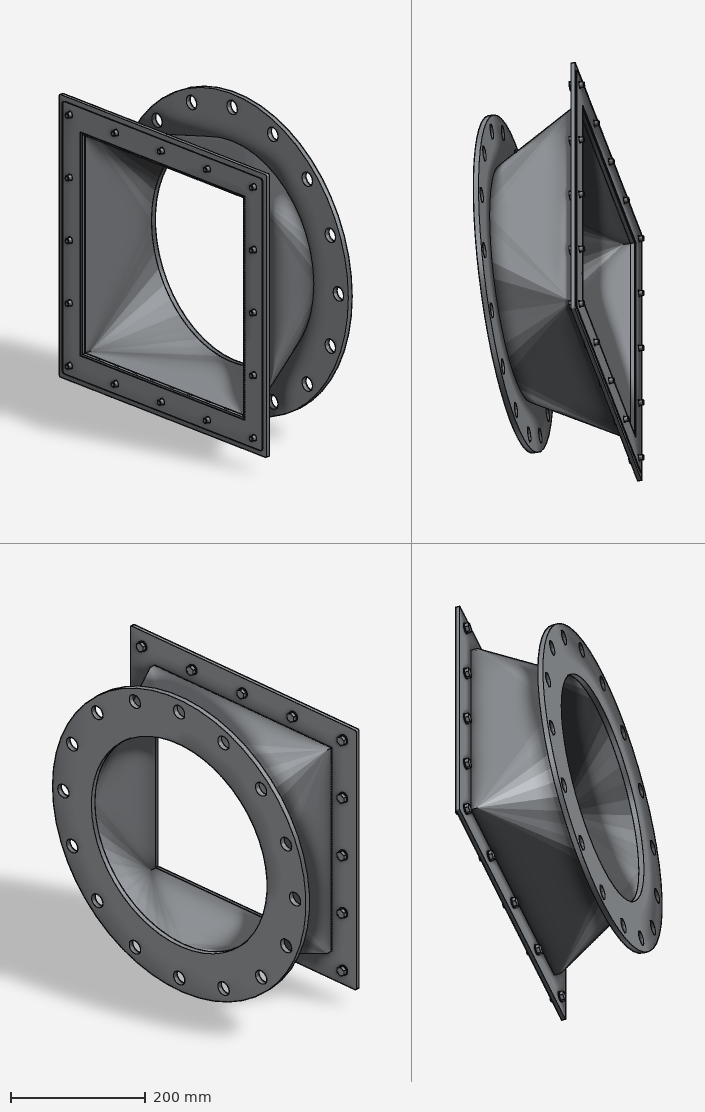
import cadquery as cq
import math


round_flange_diameter = 505.0
round_flange_thickness = 8.0
round_bolt_circle_diameter = 461.5
round_hole_diameter = 22.0
round_hole_count = 16

bore = 350.0
round_end_wall = 2.5
collar_inner_width = 349.0
collar_wall = 2.0
facets_per_corner = 11
transition_front_y = -132.5
collar_length = 10.0

square_flange_width = 450.5
square_flange_thickness = 6.0
square_flange_corner_radius = 3.0
gasket_margin = 8.0
gasket_thickness = 1.5
gasket_corner_radius = 5.0
gasket_opening = 356.0

bolt_spacing = 100.0
bolts_per_side = 5
bolt_diameter = 8.0
bolt_tip_chamfer = 1.0
bolt_hole_diameter = 10.0
bolt_tip_y = -157.0
washer_diameter = 16.0
washer_thickness = 1.5
head_across_flats = 13.0
head_height = 5.5

round_flange_front_y = -round_flange_thickness
square_flange_back_y = transition_front_y - collar_length
square_flange_front_y = square_flange_back_y - square_flange_thickness
gasket_front_y = square_flange_front_y - gasket_thickness
gasket_width = square_flange_width - 2 * gasket_margin


def section_at(y):
    """XZ workplane at the given Y; extrusions from it run toward -Y."""
    return cq.Workplane("XZ", origin=(0, y, 0))


def square_plate(back_y, width, corner_radius, opening, thickness):
    plate = section_at(back_y).rect(width, width).extrude(thickness)
    plate = plate.edges("|Y").fillet(corner_radius)
    return plate.cut(section_at(back_y).rect(opening, opening).extrude(thickness))


def flat_face(points):
    return cq.Face.makeFromWires(cq.Wire.makePolygon(points, close=True))


def transition_solid(square_width, round_diameter):
    """Solid between a square and the regular polygon inscribed in a circle.

    Each square side carries one flat triangle, and each square corner a fan of triangles.
    """
    polygon = []
    radius = round_diameter / 2
    half_width = square_width / 2
    polygon_sides = 4 * facets_per_corner
    for i in range(polygon_sides):
        angle = 2 * math.pi * i / polygon_sides
        x = radius * math.cos(angle)
        z = radius * math.sin(angle)
        polygon.append(cq.Vector(x, round_flange_front_y, z))
    corners = []
    for sign_x, sign_z in ((1, 1), (-1, 1), (-1, -1), (1, -1)):
        corners.append(cq.Vector(sign_x * half_width, transition_front_y, sign_z * half_width))

    faces = [flat_face(polygon), flat_face(corners)]
    for quadrant, corner in enumerate(corners):
        first = quadrant * facets_per_corner
        faces.append(flat_face([corners[quadrant - 1], corner, polygon[first]]))
        for i in range(first, first + facets_per_corner):
            faces.append(flat_face([corner, polygon[i], polygon[(i + 1) % polygon_sides]]))
    return cq.Workplane(cq.Solid.makeSolid(cq.Shell.makeShell(faces)))


def duct():
    collar_outer_width = collar_inner_width + 2 * collar_wall
    outside = transition_solid(collar_outer_width, bore + 2 * round_end_wall)
    inside = transition_solid(collar_inner_width, bore)
    collar = (
        section_at(transition_front_y)
        .rect(collar_outer_width, collar_outer_width)
        .rect(collar_inner_width, collar_inner_width)
        .extrude(collar_length)
    )
    return outside.cut(inside).union(collar)


def round_flange():
    disc = section_at(0).circle(round_flange_diameter / 2).circle(bore / 2)
    holes = section_at(0).polarArray(round_bolt_circle_diameter / 2, 0, 360, round_hole_count)
    holes = holes.circle(round_hole_diameter / 2).extrude(round_flange_thickness)
    return disc.extrude(round_flange_thickness).cut(holes)


def bolt_positions():
    last = bolts_per_side - 1
    positions = []
    for i in range(bolts_per_side):
        for j in range(bolts_per_side):
            if i in (0, last) or j in (0, last):
                positions.append(((i - last / 2) * bolt_spacing, (j - last / 2) * bolt_spacing))
    return positions


def square_flange():
    plate = square_plate(
        square_flange_back_y, square_flange_width, square_flange_corner_radius, bore, square_flange_thickness
    )
    gasket = square_plate(
        square_flange_front_y, gasket_width, gasket_corner_radius, gasket_opening, gasket_thickness
    )
    holes = section_at(square_flange_back_y).pushPoints(bolt_positions()).circle(bolt_hole_diameter / 2)
    return plate.union(gasket).cut(holes.extrude(square_flange_back_y - gasket_front_y))


def bolt():
    """Hex bolt on the Y axis, its washer against the back of the square flange."""
    washer_back_y = square_flange_back_y + washer_thickness
    shank = section_at(washer_back_y).circle(bolt_diameter / 2).extrude(washer_back_y - bolt_tip_y)
    shank = shank.faces("<Y").chamfer(bolt_tip_chamfer)
    washer = section_at(washer_back_y).circle(washer_diameter / 2).extrude(washer_thickness)
    head = (
        section_at(washer_back_y + head_height)
        .polygon(6, head_across_flats, circumscribed=True)
        .extrude(head_height)
    )
    return shank.union(washer).union(head)


result = round_flange().union(duct()).union(square_flange())
one_bolt = bolt()
for bolt_x, bolt_z in bolt_positions():
    result = result.union(one_bolt.translate((bolt_x, 0, bolt_z)))